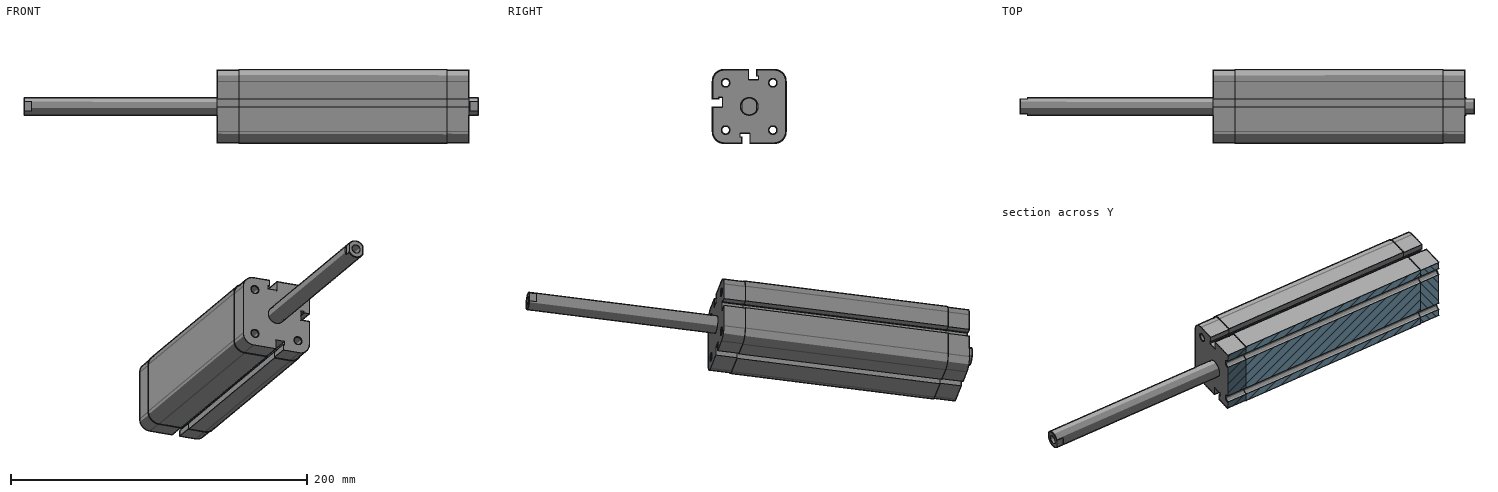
import cadquery as cq
import math

total_length = 306.5
front_cap_start = 130.3
cap_length = 14.7
rear_stub_length = 6.5
rear_cap_end = total_length - rear_stub_length
barrel_start = front_cap_start + cap_length
barrel_end = rear_cap_end - cap_length

barrel_width = 50.0
barrel_corner_radius = 8.0
cap_inset = 0.45
cap_width = barrel_width - 2 * cap_inset
cap_corner_radius = barrel_corner_radius - cap_inset

slot_near_edge = -0.45
slot_mouth_edge = 5.05
slot_undercut_edge = 6.0
slot_floor_height = 18.0
slot_lip_height = 20.5
slot_angles = (0, 90, 180)

screw_hole_diameter = 5.2
screw_hole_chamfer = 0.3
screw_hole_offset = 16.0

rod_diameter = 12.0
rod_chamfer = 0.3
flat_distance = 10.0
front_flat_length = 5.0
rear_flat_length = 5.5
rod_bore_diameter = 5.8
rod_bore_depth = 12.3
drill_point_angle = 118.0


def slot_cutter(angle):
    """L-shaped channel along the whole part, turned about the X axis."""
    outside = barrel_width
    outline = [
        (slot_near_edge, slot_floor_height),
        (slot_undercut_edge, slot_floor_height),
        (slot_undercut_edge, slot_lip_height),
        (slot_mouth_edge, slot_lip_height),
        (slot_mouth_edge, outside),
        (slot_near_edge, outside),
    ]
    channel = cq.Workplane("YZ").polyline(outline).close().extrude(total_length)
    return channel.rotate((0, 0, 0), (1, 0, 0), angle)


def screw_hole_cutters():
    """Four corner cylinders along the whole part."""
    spacing = 2 * screw_hole_offset
    corners = cq.Workplane("YZ").rect(spacing, spacing, forConstruction=True).vertices()
    return corners.circle(screw_hole_diameter / 2).extrude(total_length)


def profile_section(start, length, width, corner_radius):
    """Rounded square block with the rod hole, corner screw holes and slots."""
    block = (
        cq.Workplane("YZ", origin=(start, 0, 0))
        .rect(width, width)
        .extrude(length)
        .edges("|X")
        .fillet(corner_radius)
    )
    rod_hole = cq.Workplane("YZ").circle(rod_diameter / 2).extrude(total_length)
    block = block.cut(rod_hole).cut(screw_hole_cutters())
    for angle in slot_angles:
        block = block.cut(slot_cutter(angle))
    return block


def end_cap(start, outer_face):
    """Cap whose screw holes are chamfered on its outer face."""
    cap = profile_section(start, cap_length, cap_width, cap_corner_radius)
    hole_rims = cap.faces(outer_face).edges(cq.selectors.RadiusNthSelector(0))
    return hole_rims.chamfer(screw_hole_chamfer)


def barrel():
    """Profile tube between the two end caps."""
    return profile_section(barrel_start, barrel_end - barrel_start, barrel_width, barrel_corner_radius)


def flat_cutter(start, length, side):
    """Block that mills one wrench flat on the +Y (side 1) or -Y (side -1) of the rod."""
    block = cq.Workplane("XY").box(length, rod_diameter, rod_diameter, centered=(False, True, True))
    return block.translate((start, side * (flat_distance + rod_diameter) / 2, 0))


def rod_bore():
    """Drilled hole in the front tip of the rod, ending in a conical drill point."""
    radius = rod_bore_diameter / 2
    point_depth = radius / math.tan(math.radians(drill_point_angle / 2))
    half_section = [
        (0, 0),
        (0, radius),
        (rod_bore_depth, radius),
        (rod_bore_depth + point_depth, 0),
    ]
    return cq.Workplane("XY").polyline(half_section).close().revolve(360, (0, 0, 0), (1, 0, 0))


def piston_rod():
    """Round rod through the whole part, with two wrench flats at each end and a bore in its front tip."""
    rod = cq.Workplane("YZ").circle(rod_diameter / 2).extrude(total_length)
    rod = rod.faces("<X or >X").chamfer(rod_chamfer)
    for side in (-1, 1):
        rod = rod.cut(flat_cutter(0, front_flat_length, side))
        rod = rod.cut(flat_cutter(total_length - rear_flat_length, rear_flat_length, side))
    return rod.cut(rod_bore())


cap_placements = ((front_cap_start, "<X"), (barrel_end, ">X"))
end_caps = [end_cap(start, outer_face) for start, outer_face in cap_placements]

result = cq.Compound.makeCompound(
    [barrel().val(), piston_rod().val(), *[cap.val() for cap in end_caps]]
)